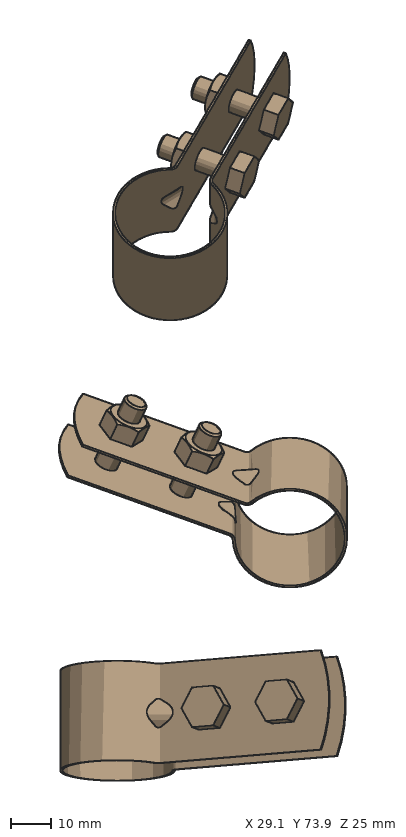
import cadquery as cq
import math

sheet = 0.6
ring_outer_dia = 28.3
strap_width = 25.0
total_length = 73.9
arm_gap = 8.95
bend_inner_radius = 1.5
arm_tip_drop = 2.3

bead_angle = 27.5
bead_inner_dia = 7.0
bead_flank_angle = 35.0
bead_start = 17.4
bead_run_up = 2.2
bead_run_down = 8.9
bead_foot_depth = 4.4

bolt_dia = 6.0
bolt_tip_dia = 4.95
bolt_tip_overhang = 0.75
hex_flats = 10.0
nut_height = 5.0
nut_face_dia = 9.7
nut_chamfer_angle = 30.0
head_height = 4.0
hex_sides = 6
bolt_count = 2
bolt_spacing = 20.0
first_bolt_y = 27.3

ring_outer_radius = ring_outer_dia / 2
ring_inner_radius = ring_outer_radius - sheet
arm_inner_x = arm_gap / 2
arm_outer_x = arm_inner_x + sheet
arm_tip_y = total_length - ring_outer_radius
half_width = strap_width / 2
bead_outer_radius = bead_inner_dia / 2 + sheet
bend_outer_radius = bend_inner_radius + sheet
bolt_rows = [first_bolt_y + i * bolt_spacing for i in range(bolt_count)]
bolt_tip_x = -ring_outer_radius - bolt_tip_overhang
hex_corners = hex_flats / math.cos(math.pi / hex_sides)

bend_centre_x = arm_outer_x + bend_inner_radius
bend_centre_distance = ring_outer_radius + bend_inner_radius
bend_centre_y = math.sqrt(bend_centre_distance**2 - bend_centre_x**2)
bend_ring_angle = math.atan2(bend_centre_y, bend_centre_x)


def bend_point(radius, angle):
    """Point on the right-hand bend, at an angle about the bend centre."""
    return (bend_centre_x + radius * math.cos(angle), bend_centre_y + radius * math.sin(angle))


def strap_area(ring_radius, bend_radius, arm_x):
    """Closed keyhole outline bounded by one surface of the sheet."""
    end_angle = math.pi + bend_ring_angle
    mid_angle = (math.pi + end_angle) / 2
    bend_start = bend_point(bend_radius, math.pi)
    bend_mid = bend_point(bend_radius, mid_angle)
    bend_end = bend_point(bend_radius, end_angle)

    def mirrored(point):
        return (-point[0], point[1])

    return (
        cq.Workplane("XY", origin=(0, 0, -half_width))
        .moveTo(arm_x, arm_tip_y)
        .lineTo(*bend_start)
        .threePointArc(bend_mid, bend_end)
        .threePointArc((0, -ring_radius), mirrored(bend_end))
        .threePointArc(mirrored(bend_mid), mirrored(bend_start))
        .lineTo(-arm_x, arm_tip_y)
        .close()
        .extrude(strap_width)
    )


def bead_prism(offset):
    """Right-hand bead solid, its surface set inward by an offset and its foot inside the clamp."""
    flank = math.radians(bead_flank_angle)
    radius = bead_outer_radius - offset
    crest_half = radius * math.sin(flank)
    arc_drop = radius * (1 - math.cos(flank))
    foot_half = crest_half + (bead_foot_depth - arc_drop) / math.tan(flank)
    tilt = math.radians(bead_angle)
    normal = (math.cos(tilt), math.sin(tilt), 0)
    along = (math.sin(tilt), -math.cos(tilt), 0)
    crest = cq.Vector(arm_outer_x, bead_start, 0) - cq.Vector(*normal) * offset
    start = crest - cq.Vector(*along) * bead_run_up
    plane = cq.Plane(origin=start.toTuple(), xDir=normal, normal=along)
    return (
        cq.Workplane(plane)
        .moveTo(-bead_foot_depth, -foot_half)
        .lineTo(-arc_drop, -crest_half)
        .threePointArc((0, 0), (-arc_drop, crest_half))
        .lineTo(-bead_foot_depth, foot_half)
        .close()
        .extrude(bead_run_up + bead_run_down)
    )


def both_sides(right_solid):
    """A right-hand solid together with its mirror image on the left."""
    return right_solid.union(right_solid.mirror("YZ"))


def tip_trim():
    """Tall block whose +Y end is the rounded end of the arms."""
    corner_y = arm_tip_y - arm_tip_drop
    return (
        cq.Workplane("YZ")
        .moveTo(-ring_outer_radius, -half_width)
        .lineTo(corner_y, -half_width)
        .threePointArc((arm_tip_y, 0), (corner_y, half_width))
        .lineTo(-ring_outer_radius, half_width)
        .close()
        .extrude(ring_outer_radius, both=True)
    )


def shank_cylinder(y):
    """Plain bolt shank, from its tip to the outer face of the +X arm; also the tool for its holes."""
    return (
        cq.Workplane("YZ", origin=(bolt_tip_x, y, 0))
        .circle(bolt_dia / 2)
        .extrude(arm_outer_x - bolt_tip_x)
    )


def make_strap():
    """Bent sheet strap: ring, two arms, a pressed bead in each bend and the bolt holes."""
    outer_area = strap_area(ring_outer_radius, bend_inner_radius, arm_outer_x)
    inner_area = strap_area(ring_inner_radius, bend_outer_radius, arm_inner_x)
    outer_area = outer_area.union(both_sides(bead_prism(0)))
    inner_area = inner_area.union(both_sides(bead_prism(sheet)))
    strap = outer_area.cut(inner_area).intersect(tip_trim())
    for y in bolt_rows:
        strap = strap.cut(shank_cylinder(y))
    return strap


def make_bolt(y):
    """Bolt along X with its head on the +X arm and a chamfered tip at -X."""
    tip_chamfer = (bolt_dia - bolt_tip_dia) / 2
    head = (
        cq.Workplane("YZ", origin=(arm_outer_x, y, 0))
        .polygon(hex_sides, hex_corners)
        .extrude(head_height)
    )
    return shank_cylinder(y).faces("<X").chamfer(tip_chamfer).union(head)


def make_nut(y):
    """Hexagon nut on the -X arm, with its outer corners turned to a cone."""
    face_x = -arm_outer_x - nut_height
    cone_growth = nut_height / math.tan(math.radians(nut_chamfer_angle))
    hexagon = (
        cq.Workplane("YZ", origin=(face_x, y, 0))
        .polygon(hex_sides, hex_corners)
        .extrude(nut_height)
    )
    corner_cone = cq.Workplane(
        cq.Solid.makeCone(
            nut_face_dia / 2,
            nut_face_dia / 2 + cone_growth,
            nut_height,
            pnt=cq.Vector(face_x, y, 0),
            dir=cq.Vector(1, 0, 0),
        )
    )
    return hexagon.intersect(corner_cone).cut(shank_cylinder(y))


strap = make_strap()
bolts = [make_bolt(y) for y in bolt_rows]
nuts = [make_nut(y) for y in bolt_rows]

result = cq.Compound.makeCompound(
    [strap.val()] + [bolt.val() for bolt in bolts] + [nut.val() for nut in nuts]
)